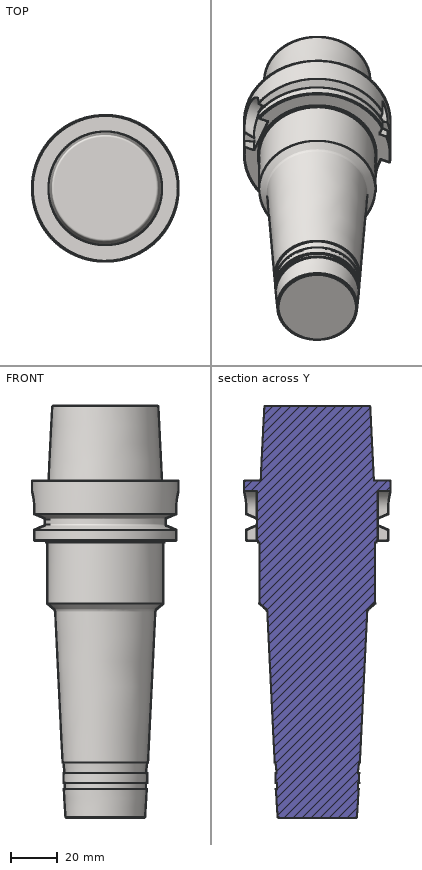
import cadquery as cq

total_length = 177.0
flange_radius = 31.5

flange_top = 145.0
taper_top_radius = 22.8
taper_base_radius = 24.5
taper_edge_radius = 0.9

flange_bottom = 119.0
groove_radius = 27.0
groove_center = 127.0
groove_floor_width = 2.8
groove_fillet = 0.5
groove_mouth_width = 6.7
flange_edge_chamfer = 0.4

collar_radius = 25.5
collar_bottom = 118.2
body_radius = 25.0
body_bottom = 92.0
neck_top = 89.2
neck_fillet = 1.5

neck_top_radius = 21.6
neck_bottom_radius = 18.4
neck_bottom = 23.9
ring_radius = 18.0
ring_top = 19.3
ring_bottom = 15.0
relief_radius = 17.5
tip_top = 12.4
tip_top_radius = 17.9
tip_radius = 17.2
tip_chamfer = 0.5

slot_width = 16.0
slot_floor = 26.0
slot_top = 140.4

notch_floor = 20.7
notch_wall = 19.8
notch_radius = 7.0


def turned_body():
    """Revolve the half section (radius, height) about Z."""
    groove_top = groove_center + groove_mouth_width / 2
    groove_bottom = groove_center - groove_mouth_width / 2
    floor_top = groove_center + groove_floor_width / 2
    floor_bottom = groove_center - groove_floor_width / 2
    section = [
        (0, 0),
        (tip_radius - tip_chamfer, 0),
        (tip_radius, tip_chamfer),
        (tip_top_radius, tip_top),
        (relief_radius, tip_top),
        (relief_radius, ring_bottom),
        (ring_radius, ring_bottom),
        (ring_radius, ring_top),
        (relief_radius, ring_top),
        (ring_radius, neck_bottom),
        (neck_bottom_radius, neck_bottom),
        (neck_top_radius, neck_top),
        (body_radius, body_bottom),
        (body_radius, collar_bottom),
        (collar_radius, collar_bottom),
        (collar_radius, flange_bottom),
        (flange_radius - flange_edge_chamfer, flange_bottom),
        (flange_radius, flange_bottom + flange_edge_chamfer),
        (flange_radius, groove_bottom),
        (groove_radius, floor_bottom),
        (groove_radius, floor_top),
        (flange_radius, groove_top),
        (flange_radius, flange_top - flange_edge_chamfer),
        (flange_radius - flange_edge_chamfer, flange_top),
        (taper_base_radius, flange_top),
        (taper_top_radius, total_length),
        (0, total_length),
    ]
    return cq.Workplane("XZ").polyline(section).close().revolve(360, (0, 0, 0), (0, 1, 0))


def round_edge(body, radius, height, fillet_radius):
    """Fillet the circular edge of the given radius at the given height."""
    margin = 0.02
    selector = cq.selectors.BoxSelector(
        (-radius - margin, -radius - margin, height - margin),
        (radius + margin, radius + margin, height + margin),
        boundingbox=True,
    )
    return body.edges(selector).edges("%CIRCLE").fillet(fillet_radius)


def arched_cutter(center_y, radius, arch_center, floor):
    """Round-topped cutter open downwards, reaching from X = floor out past the flange."""
    depth = flange_radius - floor + 1.8
    return (
        cq.Workplane("YZ", origin=(floor, 0, 0))
        .moveTo(center_y - radius, flange_bottom)
        .lineTo(center_y - radius, arch_center)
        .threePointArc((center_y, arch_center + radius), (center_y + radius, arch_center))
        .lineTo(center_y + radius, flange_bottom)
        .close()
        .extrude(depth)
    )


arch_center = slot_top - slot_width / 2
drive_slot = arched_cutter(0, slot_width / 2, arch_center, slot_floor)
notch = arched_cutter(notch_wall + notch_radius, notch_radius, arch_center, notch_floor).mirror("YZ")

body = turned_body()
body = round_edge(body, taper_top_radius, total_length, taper_edge_radius)
body = round_edge(body, neck_top_radius, neck_top, neck_fillet)
for side in (-1, 1):
    floor_edge = groove_center + side * groove_floor_width / 2
    body = round_edge(body, groove_radius, floor_edge, groove_fillet)

result = body.cut(drive_slot).cut(drive_slot.mirror("YZ")).cut(notch)